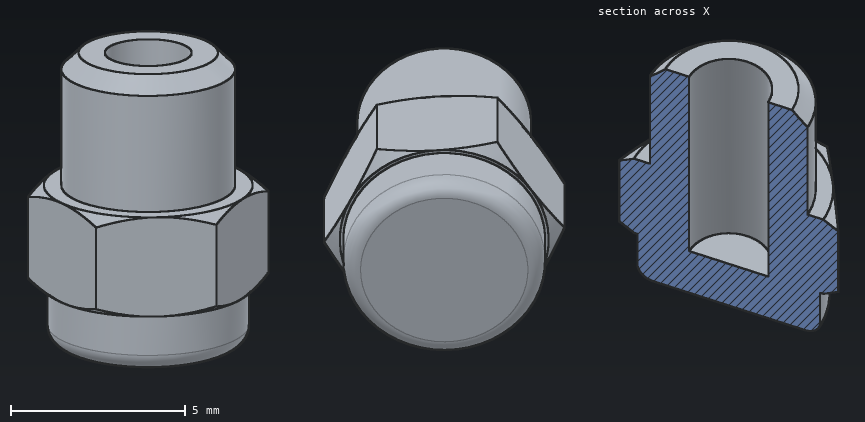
import cadquery as cq
import math

total_height = 8.7
collar_height = 1.7
hex_height = 3.0
hex_top = collar_height + hex_height

across_flats = 6.0
across_corners = across_flats / math.cos(math.radians(30))
collar_diameter = 5.8
spigot_diameter = 5.0
bore_diameter = 2.5

edge_size = 0.5
hex_chamfer_angle = 30.0

bore_depth = total_height - collar_height


def make_collar():
    """Round collar with a rounded lower rim."""
    collar = cq.Workplane("XY").circle(collar_diameter / 2).extrude(collar_height)
    return collar.faces("<Z").edges().fillet(edge_size)


def make_hexagon():
    """Hexagon with flats facing +X and -X, its corners turned down at both ends."""
    blank = (
        cq.Workplane("XY", origin=(0, 0, collar_height))
        .transformed(rotate=(0, 0, 90))
        .polygon(6, across_corners)
        .extrude(hex_height)
    )
    face_radius = across_flats / 2
    slope = math.tan(math.radians(hex_chamfer_angle))
    cone_radius = face_radius + hex_height / 2 / slope
    envelope = (
        cq.Workplane("XZ")
        .moveTo(0, collar_height)
        .lineTo(face_radius, collar_height)
        .lineTo(cone_radius, collar_height + hex_height / 2)
        .lineTo(face_radius, hex_top)
        .lineTo(0, hex_top)
        .close()
        .revolve(360, (0, 0, 0), (0, 1, 0))
    )
    return blank.intersect(envelope)


def make_spigot():
    """Round spigot with a chamfered upper rim."""
    spigot = (
        cq.Workplane("XY", origin=(0, 0, hex_top))
        .circle(spigot_diameter / 2)
        .extrude(total_height - hex_top)
    )
    return spigot.faces(">Z").edges().chamfer(edge_size)


def make_bore():
    """Blind bore entering from the top."""
    return (
        cq.Workplane("XY", origin=(0, 0, total_height))
        .circle(bore_diameter / 2)
        .extrude(-bore_depth)
    )


result = make_collar().union(make_hexagon()).union(make_spigot()).cut(make_bore())